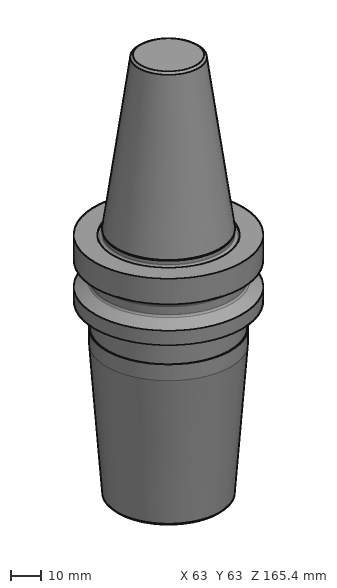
import cadquery as cq
import math

total_height = 165.4
flange_diameter = 63.0
flange_radius = flange_diameter / 2

nose_cone_top = 57.0
nose_band_top = 63.0
flange_bottom = 73.0
flange_top = 97.9
gauge_plane = 100.0
collar_height = 2.0
collar_bottom = flange_bottom - collar_height

nose_radius = 22.0
nose_chamfer = 1.0
band_radius = 26.5
body_radius = 26.1
collar_fillet = 1.0

groove_center = 83.4
groove_half_width = 5.0
groove_floor_radius = band_radius
groove_flank_angle = math.radians(30)
groove_corner_fillet = 1.0
flank_height = (flange_radius - groove_floor_radius) * math.tan(groove_flank_angle)
floor_half_width = groove_half_width - flank_height

taper_ratio = 7 / 24
gauge_radius = 22.2
shank_top_radius = gauge_radius - (total_height - gauge_plane) * taper_ratio / 2
shank_end_chamfer = 0.8

relief_radius = 22.0
relief_outer_radius = 23.7
relief_chamfer_height = 0.5
relief_depth = 0.7
relief_fillet = 1.0
relief_floor = flange_top - relief_depth


def turned_body():
    """Revolve the half profile, listed from the nose face up to the shank end."""
    profile = [
        (0, 0),
        (nose_radius, 0),
        (band_radius, nose_cone_top),
        (band_radius, nose_band_top),
        (body_radius, nose_band_top),
        (body_radius, collar_bottom),
        (band_radius, collar_bottom),
        (band_radius, flange_bottom),
        (flange_radius, flange_bottom),
        (flange_radius, groove_center - groove_half_width),
        (groove_floor_radius, groove_center - floor_half_width),
        (groove_floor_radius, groove_center + floor_half_width),
        (flange_radius, groove_center + groove_half_width),
        (flange_radius, flange_top),
        (relief_outer_radius, flange_top),
        (relief_outer_radius, relief_floor),
        (relief_radius, relief_floor),
        (relief_radius, gauge_plane - relief_chamfer_height),
        (gauge_radius, gauge_plane),
        (shank_top_radius, total_height),
        (0, total_height),
    ]
    return cq.Workplane("XZ").polyline(profile).close().revolve(360, (0, 0), (0, 1))


def circle_edge(radius, height):
    """Select circular edges at one height, up to the given radius."""
    tolerance = 0.02
    reach = radius + tolerance
    return cq.selectors.BoxSelector(
        (-reach, -reach, height - tolerance),
        (reach, reach, height + tolerance),
        boundingbox=True,
    )


result = turned_body()
result = result.faces("<Z").edges().chamfer(nose_chamfer)
result = result.faces(">Z").edges().chamfer(shank_end_chamfer)

result = result.edges(circle_edge(band_radius, flange_bottom)).fillet(collar_fillet)

for side in (-1, 1):
    corner_height = groove_center + side * floor_half_width
    corner = circle_edge(groove_floor_radius, corner_height)
    result = result.edges(corner).fillet(groove_corner_fillet)

result = result.edges(circle_edge(relief_radius, relief_floor)).fillet(relief_fillet)